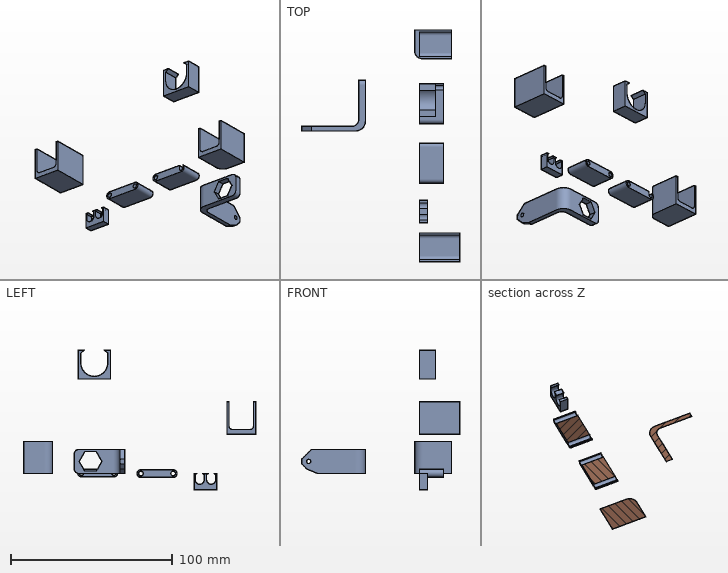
import cadquery as cq
import math

BASE_Z = 10.0

LINK_PITCH = 20.0
LINK_RADIUS = 2.5
LINK_WIDTH = 15.0
LINK_BORE = 2.7
PLAIN_LINK_Y = 51.2
PLAIN_LINK_Z = 10.0
HOOK_LINK_Y = 88.0
HOOK_LINK_Z = 10.3

TRAY_WIDTH = 18.0
TRAY_WALL = 1.5
TRAY_FLOOR = 3.0
TRAY_FILLET = 2.2
OPEN_TRAY_LENGTH = 25.0
OPEN_TRAY_HEIGHT = 20.3
OPEN_TRAY_Z = 34.3
CAPPED_TRAY_LENGTH = 20.0
CAPPED_TRAY_HEIGHT = 20.0
CAPPED_TRAY_Y = 125.7
END_WALL = 3.0
CORNER_RADIUS = 5.0

CLIP_LENGTH = 10.0
CLIP_WIDTH = 20.1
CLIP_HEIGHT = 18.0
CLIP_BORE = 16.5
CLIP_MOUTH = 12.0
CLIP_FLOOR = 1.7
CLIP_LIP = 1.9
CLIP_Y = 90.0
CLIP_Z = 68.5

TWIN_LENGTH = 5.0
TWIN_WIDTH = 14.1
TWIN_HEIGHT = 10.0
TWIN_BORE = 5.5
TWIN_MOUTH = 3.5
TWIN_PITCH = 7.0
TWIN_FLOOR = 3.5
TWIN_LIP = 0.9
TWIN_Y = 24.1

BRACKET_X = -72.9
BRACKET_Y = 81.0
ARM_LENGTH = 39.5
LEG_LENGTH = 31.5
BRACKET_HEIGHT = 15.0
ARM_THICKNESS = 3.0
LEG_THICKNESS = 4.3
OUTER_BEND = 6.2
INNER_BEND = 4.0
LEG_CORNER = 3.0
HEX_FLATS = 12.0
HEX_FROM_END = 10.2
ARM_HOLE = 2.5
ARM_HOLE_X = 4.3
TIP_HALF_HEIGHT = 1.5
TIP_TOP_RUN = 6.0
TIP_KNEE_RUN = 3.2
TIP_KNEE_DROP = 4.7
TIP_BOTTOM_RUN = 9.6


def box(length, width, height, x, y, z):
    """Box placed by its minimum corner."""
    return cq.Workplane("XY").box(length, width, height, centered=False).translate((x, y, z))


def make_link(y, z):
    """Round-ended plate along Y with a bore at each end; y, z locate the first bore."""
    plate = (
        cq.Workplane("YZ")
        .center(y + LINK_PITCH / 2, z)
        .slot2D(LINK_PITCH + 2 * LINK_RADIUS, 2 * LINK_RADIUS)
        .extrude(LINK_WIDTH)
    )
    bores = (
        cq.Workplane("YZ")
        .pushPoints([(y, z), (y + LINK_PITCH, z)])
        .circle(LINK_BORE / 2)
        .extrude(LINK_WIDTH)
    )
    return plate.cut(bores)


def make_hook_link(y, z):
    """Link whose far bore is opened upwards, leaving a snap-on hook."""
    slot_y = y + LINK_PITCH - LINK_BORE / 2
    opening = box(LINK_WIDTH, LINK_BORE, LINK_RADIUS, 0, slot_y, z)
    return make_link(y, z).cut(opening)


def make_tray(length, height, y, z):
    """Channel along X, open at the top and at both ends."""
    cavity = box(length, TRAY_WIDTH - 2 * TRAY_WALL, height, 0, y + TRAY_WALL, z + TRAY_FLOOR)
    cavity = cavity.edges("|X and <Z").fillet(TRAY_FILLET)
    return box(length, TRAY_WIDTH, height, 0, y, z).cut(cavity)


def make_capped_tray():
    """Channel closed by an end wall with one rounded vertical corner."""
    tray = make_tray(CAPPED_TRAY_LENGTH, CAPPED_TRAY_HEIGHT, CAPPED_TRAY_Y, BASE_Z)
    end_wall = box(END_WALL, TRAY_WIDTH, CAPPED_TRAY_HEIGHT, -END_WALL, CAPPED_TRAY_Y, BASE_Z)
    envelope = box(
        CAPPED_TRAY_LENGTH + END_WALL, TRAY_WIDTH, CAPPED_TRAY_HEIGHT, -END_WALL, CAPPED_TRAY_Y, BASE_Z
    )
    envelope = envelope.edges("|Z and <X and <Y").fillet(CORNER_RADIUS)
    return tray.union(end_wall).intersect(envelope)


def make_snap_seat(length, bore, mouth, lip, y, floor_z, top_z):
    """Cutter for a round-bottomed seat with straight sides and a narrowed mouth."""
    radius = bore / 2
    return (
        cq.Workplane("YZ")
        .moveTo(y - radius, floor_z + radius)
        .threePointArc((y, floor_z), (y + radius, floor_z + radius))
        .lineTo(y + radius, top_z - lip)
        .lineTo(y + mouth / 2, top_z)
        .lineTo(y - mouth / 2, top_z)
        .lineTo(y - radius, top_z - lip)
        .close()
        .extrude(length)
    )


def make_clip():
    """Block with one large snap seat."""
    block = box(CLIP_LENGTH, CLIP_WIDTH, CLIP_HEIGHT, 0, CLIP_Y, CLIP_Z)
    seat = make_snap_seat(
        CLIP_LENGTH, CLIP_BORE, CLIP_MOUTH, CLIP_LIP,
        CLIP_Y + CLIP_WIDTH / 2, CLIP_Z + CLIP_FLOOR, CLIP_Z + CLIP_HEIGHT,
    )
    return block.cut(seat)


def make_twin_clip():
    """Block with two small snap seats side by side."""
    block = box(TWIN_LENGTH, TWIN_WIDTH, TWIN_HEIGHT, 0, TWIN_Y, 0)
    for side in (-1, 1):
        seat_y = TWIN_Y + TWIN_WIDTH / 2 + side * TWIN_PITCH / 2
        block = block.cut(
            make_snap_seat(TWIN_LENGTH, TWIN_BORE, TWIN_MOUTH, TWIN_LIP, seat_y, TWIN_FLOOR, TWIN_HEIGHT)
        )
    return block


def make_bent_strip():
    """L-shaped strip with its rounded bend, extruded upwards."""
    bend_x = BRACKET_X + ARM_LENGTH
    leg_end_y = BRACKET_Y + LEG_LENGTH
    strip = (
        cq.Workplane("XY", origin=(0, 0, BASE_Z))
        .moveTo(BRACKET_X, BRACKET_Y)
        .lineTo(bend_x, BRACKET_Y)
        .lineTo(bend_x, leg_end_y)
        .lineTo(bend_x - LEG_THICKNESS, leg_end_y)
        .lineTo(bend_x - LEG_THICKNESS, BRACKET_Y + ARM_THICKNESS)
        .lineTo(BRACKET_X, BRACKET_Y + ARM_THICKNESS)
        .close()
        .extrude(BRACKET_HEIGHT)
    )
    strip = strip.edges("|Z and >X and <Y").fillet(OUTER_BEND)
    inner_corner = cq.selectors.NearestToPointSelector(
        (bend_x - LEG_THICKNESS, BRACKET_Y + ARM_THICKNESS, BASE_Z + BRACKET_HEIGHT / 2)
    )
    strip = strip.edges(inner_corner).fillet(INNER_BEND)
    return strip.edges("|X and >Y").fillet(LEG_CORNER)


def make_bracket():
    """Bent strip with a tapered, drilled arm tip and a hexagonal hole in the leg."""
    bend_x = BRACKET_X + ARM_LENGTH
    leg_end_y = BRACKET_Y + LEG_LENGTH
    top_z = BASE_Z + BRACKET_HEIGHT
    middle_z = BASE_Z + BRACKET_HEIGHT / 2

    arm_profile = (
        cq.Workplane("XZ", origin=(0, BRACKET_Y, 0))
        .moveTo(BRACKET_X, middle_z + TIP_HALF_HEIGHT)
        .lineTo(BRACKET_X + TIP_TOP_RUN, top_z)
        .lineTo(bend_x, top_z)
        .lineTo(bend_x, BASE_Z)
        .lineTo(BRACKET_X + TIP_BOTTOM_RUN, BASE_Z)
        .lineTo(BRACKET_X + TIP_KNEE_RUN, middle_z - TIP_KNEE_DROP)
        .lineTo(BRACKET_X, middle_z - TIP_HALF_HEIGHT)
        .close()
        .extrude(-LEG_LENGTH)
    )
    arm_hole = (
        cq.Workplane("XZ", origin=(BRACKET_X + ARM_HOLE_X, BRACKET_Y, middle_z))
        .circle(ARM_HOLE / 2)
        .extrude(-ARM_THICKNESS)
    )
    hex_hole = (
        cq.Workplane("YZ", origin=(bend_x - LEG_THICKNESS, leg_end_y - HEX_FROM_END, middle_z))
        .polygon(6, HEX_FLATS / math.cos(math.pi / 6))
        .extrude(LEG_THICKNESS)
    )
    return make_bent_strip().intersect(arm_profile).cut(arm_hole).cut(hex_hole)


open_tray = make_tray(OPEN_TRAY_LENGTH, OPEN_TRAY_HEIGHT, 0, OPEN_TRAY_Z)
capped_tray = make_capped_tray()
plain_link = make_link(PLAIN_LINK_Y, PLAIN_LINK_Z)
hook_link = make_hook_link(HOOK_LINK_Y, HOOK_LINK_Z)
clip = make_clip()
twin_clip = make_twin_clip()
bracket = make_bracket()

result = cq.Compound.makeCompound([
    open_tray.val(),
    capped_tray.val(),
    plain_link.val(),
    hook_link.val(),
    clip.val(),
    twin_clip.val(),
    bracket.val(),
])